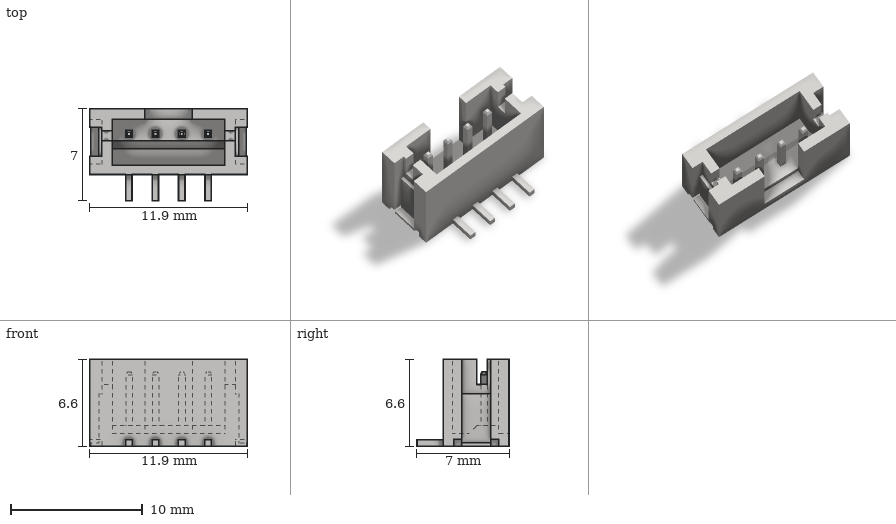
import cadquery as cq

LENGTH = 11.95
WIDTH = 5.0
HEIGHT = 6.6

CAVITY_LENGTH = 8.55
FRONT_WALL = 0.7
BACK_WALL = 0.82
LOW_FLOOR_Z = 1.0
RAMP_START_Y = 1.95
RAMP_END_Y = 2.55
HIGH_FLOOR_Z = LOW_FLOOR_Z + RAMP_END_Y - RAMP_START_Y

WINDOW_LENGTH = 3.6
WINDOW_SILL_Z = LOW_FLOOR_Z

SLOT_START_Y = RAMP_END_Y
SLOT_END_Y = 3.33
SLOT_FLOOR_Z = 4.7

RECESS_DEPTH = 0.93
RECESS_WIDTH = 2.2
RELIEF_WIDTH = 3.38
RELIEF_HEIGHT = 0.52

TAB_THICKNESS = 0.26
TAB_HEIGHT = 4.0
TAB_END_GAP = 0.08

PIN_COUNT = 4
PIN_PITCH = 2.0
PIN_SIZE = 0.5
PIN_CENTRE_Y = 3.09
PIN_TOP_Z = 5.66
PIN_TIP_HEIGHT = 0.22
PIN_TIP_SIZE = 0.26
TAIL_LENGTH = 2.0

SIDES = (-1, 1)
MID_Y = WIDTH / 2


def block(x_range, y_range, z_range):
    """Box spanning the given pairs of limits."""
    sizes = [high - low for low, high in (x_range, y_range, z_range)]
    corner = (x_range[0], y_range[0], z_range[0])
    return cq.Workplane("XY").box(*sizes, centered=False).translate(corner)


def end_block(side, outer_gap, depth, width, height):
    """Box on the base near one end, centred across the housing width."""
    outer_x = LENGTH / 2 - outer_gap
    centre_x = side * (outer_x - depth / 2)
    base = cq.Workplane("XY").center(centre_x, MID_Y)
    return base.rect(depth, width).extrude(height)


def make_cavity():
    """Cavity with a low front floor ramping up to the floor around the pins."""
    back_y = WIDTH - BACK_WALL
    profile = [
        (FRONT_WALL, LOW_FLOOR_Z),
        (RAMP_START_Y, LOW_FLOOR_Z),
        (RAMP_END_Y, HIGH_FLOOR_Z),
        (back_y, HIGH_FLOOR_Z),
        (back_y, HEIGHT),
        (FRONT_WALL, HEIGHT),
    ]
    return cq.Workplane("YZ").polyline(profile).close().extrude(CAVITY_LENGTH / 2, both=True)


def make_housing():
    half_length = LENGTH / 2
    housing = block((-half_length, half_length), (0, WIDTH), (0, HEIGHT))
    housing = housing.cut(make_cavity())

    half_window = WINDOW_LENGTH / 2
    window = block(
        (-half_window, half_window), (WIDTH - BACK_WALL, WIDTH), (WINDOW_SILL_Z, HEIGHT)
    )
    slots = block(
        (-half_length, half_length), (SLOT_START_Y, SLOT_END_Y), (SLOT_FLOOR_Z, HEIGHT)
    )
    housing = housing.cut(window).cut(slots)

    for side in SIDES:
        housing = housing.cut(end_block(side, 0, RECESS_DEPTH, RECESS_WIDTH, HEIGHT))
        housing = housing.cut(end_block(side, 0, RECESS_DEPTH, RELIEF_WIDTH, RELIEF_HEIGHT))
    return housing


def make_tab(side):
    """Upright plate against the recess wall with a foot reaching outward."""
    upright = end_block(side, RECESS_DEPTH - TAB_THICKNESS, TAB_THICKNESS, RECESS_WIDTH, TAB_HEIGHT)
    foot = end_block(side, TAB_END_GAP, RECESS_DEPTH - TAB_END_GAP, RECESS_WIDTH, TAB_THICKNESS)
    return upright.union(foot)


def make_pin(x):
    """Upright contact with a tapered tip, and a tail leaving along the base."""
    half_pin = PIN_SIZE / 2
    shoulder_z = PIN_TOP_Z - PIN_TIP_HEIGHT
    x_range = (x - half_pin, x + half_pin)
    back_y = PIN_CENTRE_Y + half_pin
    upright = block(x_range, (PIN_CENTRE_Y - half_pin, back_y), (0, shoulder_z))
    tip = (
        cq.Workplane("XY", origin=(x, PIN_CENTRE_Y, shoulder_z))
        .rect(PIN_SIZE, PIN_SIZE)
        .workplane(offset=PIN_TIP_HEIGHT)
        .rect(PIN_TIP_SIZE, PIN_TIP_SIZE)
        .loft(ruled=True)
    )
    tail = block(x_range, (-TAIL_LENGTH, back_y), (0, PIN_SIZE))
    return upright.union(tip).union(tail)


result = make_housing()
for tab_side in SIDES:
    result = result.union(make_tab(tab_side))
for index in range(PIN_COUNT):
    pin_x = (index - (PIN_COUNT - 1) / 2) * PIN_PITCH
    result = result.union(make_pin(pin_x))